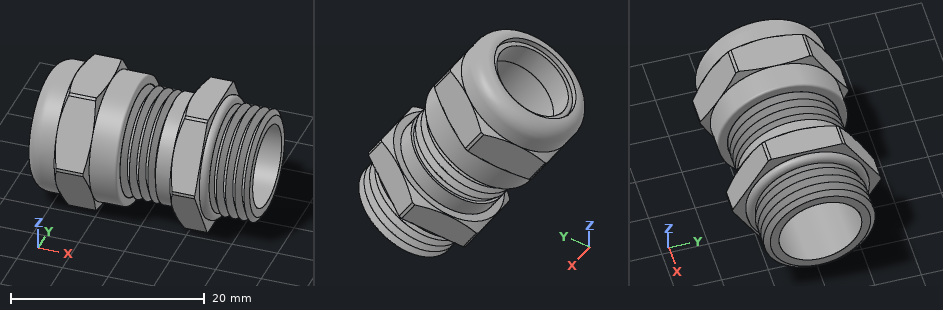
import cadquery as cq
import math


overall_length = 24.13
cap_end = 10.13
collar_start = 14.02
cap_hex_start = 3.23
cap_hex_end = 7.12
body_hex_start = 15.95
body_hex_end = 19.05

across_flats = 13.97
cap_radius = across_flats / 2
dome_radius = 1.7
cap_rim_fillet = 0.25
hex_corner_radius = 7.96
front_bevel_base_radius = 6.9
rear_bevel_base_radius = cap_radius
front_bevel_angle = 30.0
rear_bevel_angle = 18.0
flat_end_angle = 0.0

thread_crest_radius = 6.0
thread_root_radius = 5.2
thread_pitch = 1.01
cap_thread_crest = 11.17
entry_thread_crest = 23.75

bead_tube_radius = 0.6
bead_ring_radius = thread_crest_radius
bead_offset = 0.25
bead_center = body_hex_end + bead_offset

bore_radius = 4.45
mouth_radius = 5.07
sleeve_start = 0.48
sleeve_end = cap_hex_start
sleeve_fillet = 0.25


def cylinder(start, end, radius):
    """Solid cylinder on the X axis between two positions."""
    return cq.Workplane("YZ", origin=(start, 0, 0)).circle(radius).extrude(end - start)


def revolved(points):
    """Solid of revolution about the X axis from (x, radius) points."""
    return cq.Workplane("XY").polyline(points).close().revolve(360, (0, 0, 0), (1, 0, 0))


def torus(center, ring_radius, tube_radius):
    """Ring of round cross-section around the X axis."""
    tube = cq.Workplane("XY").center(center, ring_radius).circle(tube_radius)
    return tube.revolve(360, (0, -ring_radius, 0), (1, -ring_radius, 0))


def thread_radius(x, crest):
    """Height of the V profile at x, for a thread that has a crest at the given position."""
    half_pitch = thread_pitch / 2
    offset = (x - crest) % thread_pitch
    distance_to_crest = min(offset, thread_pitch - offset)
    return thread_crest_radius - (thread_crest_radius - thread_root_radius) * distance_to_crest / half_pitch


def thread(start, end, crest):
    """Ring-shaped V ridges between two positions, cut off square at both ends."""
    half_pitch = thread_pitch / 2
    first = math.floor((start - crest) / half_pitch) + 1
    last = math.ceil((end - crest) / half_pitch) - 1
    turns = [crest + step * half_pitch for step in range(first, last + 1)]
    ridge_points = [(x, thread_radius(x, crest)) for x in [start, *turns, end]]
    return revolved([(start, 0), *ridge_points, (end, 0)])


def bevel_run(base_radius, angle):
    """Axial length of a hexagon bevel from its base circle out to the corners."""
    return (hex_corner_radius - base_radius) * math.tan(math.radians(angle))


def hexagon(start, end, rear_angle):
    """Bevelled hexagon with corners on the Y axis; a rear angle of 0 leaves that end flat."""
    across_corners = across_flats / math.cos(math.radians(30))
    prism = cq.Workplane("YZ", origin=(start, 0, 0)).polygon(6, across_corners).extrude(end - start)
    envelope_points = [
        (start, 0),
        (start, front_bevel_base_radius),
        (start + bevel_run(front_bevel_base_radius, front_bevel_angle), hex_corner_radius),
        (end - bevel_run(rear_bevel_base_radius, rear_angle), hex_corner_radius),
        (end, rear_bevel_base_radius),
        (end, 0),
    ]
    return prism.intersect(revolved(envelope_points))


def make_gland():
    cap = cylinder(0, cap_end, cap_radius)
    cap = cap.faces("<X").edges().fillet(dome_radius)
    cap = cap.faces(">X").edges().fillet(cap_rim_fillet)
    cap_hex = hexagon(cap_hex_start, cap_hex_end, rear_bevel_angle)

    cap_thread = thread(cap_end, collar_start, cap_thread_crest)
    collar = cylinder(collar_start, body_hex_start, thread_crest_radius)
    body_hex = hexagon(body_hex_start, body_hex_end, flat_end_angle)
    bead = torus(bead_center, bead_ring_radius, bead_tube_radius)
    entry_thread = thread(body_hex_end, overall_length, entry_thread_crest)

    gland = cap
    for section in (cap_hex, cap_thread, collar, body_hex, bead, entry_thread):
        gland = gland.union(section)

    bore = cylinder(0, overall_length, bore_radius)
    sleeve_seat = cylinder(0, sleeve_end, mouth_radius)
    return gland.cut(bore).cut(sleeve_seat)


def make_sleeve():
    sleeve = cylinder(sleeve_start, sleeve_end, mouth_radius)
    sleeve = sleeve.faces("<X").edges().fillet(sleeve_fillet)
    return sleeve.cut(cylinder(sleeve_start, sleeve_end, bore_radius))


gland = make_gland()
sleeve = make_sleeve()

result = cq.Compound.makeCompound([gland.solids().val(), sleeve.solids().val()])